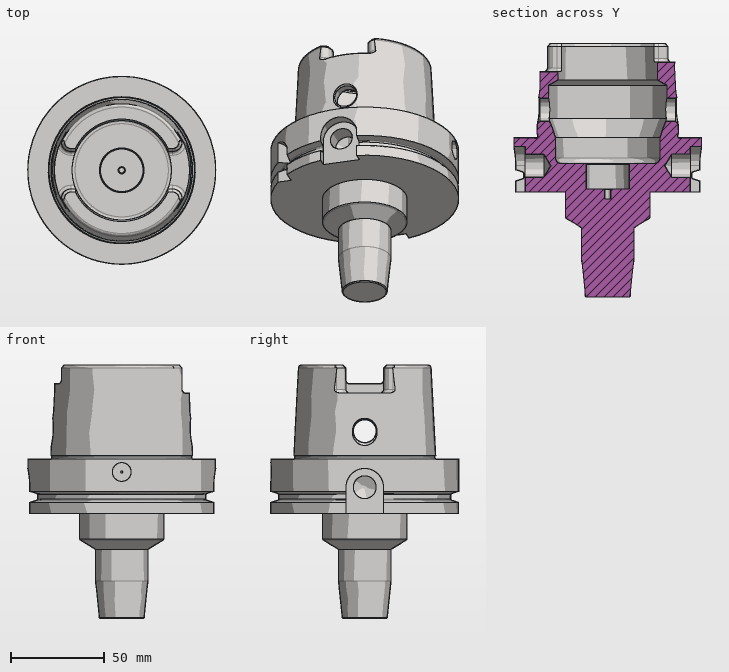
import cadquery as cq
import math

TOTAL_LENGTH = 134.9
TAPER_LENGTH = 50.0
FLANGE_RADIUS = 50.01
FLANGE_WIDTH = 29.0

TAPER_BASE_RADIUS = 37.8
TAPER_RATIO = 1 / 20
TAPER_TIP_FILLET = 1.8
RELIEF_DEPTH = 0.4
RELIEF_FOOT_FILLET = 1.2
RELIEF_END = 2.0
FACE_GROOVE_OUTER_RADIUS = 39.1
FACE_GROOVE_DEPTH = 0.4

BORE_RADIUS = 26.5
BORE_MOUTH_CHAMFER = 0.8
BORE_LENGTH = 19.4
UNDERCUT_RADIUS = 31.4
UNDERCUT_SHOULDER_ANGLE = 30
UNDERCUT_FOOT = 10.1
UNDERCUT_FOOT_ANGLE = 70
CHAMBER_RADIUS = 27.8
CHAMBER_FLOOR = 13.8
CHAMBER_FLOOR_FILLET = 3.0
SEAT_RADIUS = 11.3
SEAT_CHAMFER = 0.5
SEAT_DEPTH = 13.5
FEED_RADIUS = 1.5
FEED_CHAMFER = 0.4
FEED_DEPTH = 5.4

GROOVE_CENTRE = 20.1
GROOVE_FLOOR_RADIUS = 45.9
GROOVE_HALF_MOUTH = 3.0
GROOVE_HALF_FLOOR = 1.6
GROOVE_FILLET = 0.7

COLLAR_RADIUS = 22.5
COLLAR_LENGTH = 14.2
COLLAR_EDGE_CHAMFER = 0.5
NOSE_RADIUS = 14.0
NOSE_CONE_LENGTH = 4.9
NOSE_TAPER_LENGTH = 20.0
NOSE_TIP_RADIUS = 12.0
NOSE_TIP_CHAMFER = 0.5

KEY_HALF_WIDTH = 10.0
KEY_CORNER_RADIUS = 5.0
KEY_CORNER_X = 27.1
KEY_FLOOR_FILLET = 2.0
KEY_TOP_CHAMFER = 1.6
KEY_DEPTH_LEFT = 10.0
KEY_DEPTH_RIGHT = 15.0

ACCESS_RADIUS = 6.1
ACCESS_HEIGHT = 14.8
ACCESS_MOUTH_RADIUS = 7.1

FLANGE_SLOT_HALF_WIDTH = 10.0
FLANGE_SLOT_FLOOR = 44.0
FLANGE_SLOT_CENTRE = 15.0
SLOT_HOLE_RADIUS = 6.1
SLOT_HOLE_DEPTH = 10.0
DRILL_TIP_ANGLE = 118

NOTCH_FLOOR = 31.7
NOTCH_WALL = 31.5
CHIP_RADIUS = 5.0
CHIP_DEPTH = 4.6
CHIP_HEIGHT = 6.9
CHIP_PILOT_RADIUS = 0.5
CHIP_PILOT_DEPTH = 1.3


def turned_body():
    nose_tip = TAPER_LENGTH - TOTAL_LENGTH
    collar_end = -FLANGE_WIDTH - COLLAR_LENGTH
    tip_radius = TAPER_BASE_RADIUS - TAPER_RATIO * TAPER_LENGTH
    relief_radius = TAPER_BASE_RADIUS - RELIEF_DEPTH
    outline = (
        cq.Workplane("YZ")
        .moveTo(0, nose_tip)
        .lineTo(NOSE_TIP_RADIUS - NOSE_TIP_CHAMFER, nose_tip)
        .lineTo(NOSE_TIP_RADIUS, nose_tip + NOSE_TIP_CHAMFER)
        .lineTo(NOSE_RADIUS, nose_tip + NOSE_TAPER_LENGTH)
        .lineTo(NOSE_RADIUS, collar_end - NOSE_CONE_LENGTH)
        .lineTo(COLLAR_RADIUS - COLLAR_EDGE_CHAMFER, collar_end)
        .lineTo(COLLAR_RADIUS, collar_end + COLLAR_EDGE_CHAMFER)
        .lineTo(COLLAR_RADIUS, -FLANGE_WIDTH)
        .lineTo(FLANGE_RADIUS, -FLANGE_WIDTH)
        .lineTo(FLANGE_RADIUS, 0)
        .lineTo(FACE_GROOVE_OUTER_RADIUS, 0)
        .lineTo(FACE_GROOVE_OUTER_RADIUS - FACE_GROOVE_DEPTH, -FACE_GROOVE_DEPTH)
        .lineTo(relief_radius + RELIEF_FOOT_FILLET, -FACE_GROOVE_DEPTH)
        .radiusArc((relief_radius, RELIEF_FOOT_FILLET - FACE_GROOVE_DEPTH), RELIEF_FOOT_FILLET)
        .lineTo(relief_radius, RELIEF_END - RELIEF_DEPTH)
        .lineTo(TAPER_BASE_RADIUS, RELIEF_END)
        .lineTo(tip_radius, TAPER_LENGTH)
        .lineTo(0, TAPER_LENGTH)
        .close()
    )
    body = outline.revolve(360, (0, 0, 0), (0, 1, 0))
    return body.faces(">Z").edges().fillet(TAPER_TIP_FILLET)


def taper_bore():
    top = TAPER_LENGTH
    undercut_depth = UNDERCUT_RADIUS - BORE_RADIUS
    shoulder_top = top - BORE_LENGTH
    shoulder_foot = shoulder_top - undercut_depth * math.tan(math.radians(UNDERCUT_SHOULDER_ANGLE))
    foot_drop = (UNDERCUT_RADIUS - CHAMBER_RADIUS) * math.tan(math.radians(UNDERCUT_FOOT_ANGLE))
    floor = -CHAMBER_FLOOR
    seat_floor = floor - SEAT_DEPTH
    outline = (
        cq.Workplane("YZ")
        .moveTo(0, top)
        .lineTo(BORE_RADIUS + BORE_MOUTH_CHAMFER, top)
        .lineTo(BORE_RADIUS, top - KEY_TOP_CHAMFER)
        .lineTo(BORE_RADIUS, shoulder_top)
        .lineTo(UNDERCUT_RADIUS, shoulder_foot)
        .lineTo(UNDERCUT_RADIUS, UNDERCUT_FOOT)
        .lineTo(CHAMBER_RADIUS, UNDERCUT_FOOT - foot_drop)
        .lineTo(CHAMBER_RADIUS, floor + CHAMBER_FLOOR_FILLET)
        .radiusArc((CHAMBER_RADIUS - CHAMBER_FLOOR_FILLET, floor), CHAMBER_FLOOR_FILLET)
        .lineTo(SEAT_RADIUS + SEAT_CHAMFER, floor)
        .lineTo(SEAT_RADIUS, floor - SEAT_CHAMFER)
        .lineTo(SEAT_RADIUS, seat_floor)
        .lineTo(FEED_RADIUS + FEED_CHAMFER, seat_floor)
        .lineTo(FEED_RADIUS, seat_floor - FEED_CHAMFER)
        .lineTo(FEED_RADIUS, seat_floor - FEED_DEPTH)
        .lineTo(0, seat_floor - FEED_DEPTH)
        .close()
    )
    return outline.revolve(360, (0, 0, 0), (0, 1, 0))


def flange_groove():
    outline = (
        cq.Workplane("YZ")
        .moveTo(FLANGE_RADIUS, -GROOVE_CENTRE + GROOVE_HALF_MOUTH)
        .lineTo(GROOVE_FLOOR_RADIUS, -GROOVE_CENTRE + GROOVE_HALF_FLOOR)
        .lineTo(GROOVE_FLOOR_RADIUS, -GROOVE_CENTRE - GROOVE_HALF_FLOOR)
        .lineTo(FLANGE_RADIUS, -GROOVE_CENTRE - GROOVE_HALF_MOUTH)
        .close()
    )
    ring = outline.revolve(360, (0, 0, 0), (0, 1, 0))
    inner_rims = cq.selectors.RadiusNthSelector(0)
    return ring.edges("%CIRCLE").edges(inner_rims).fillet(GROOVE_FILLET)


def key_outline(z):
    """Key slot along +X: parallel walls that flare through rounded corners to the outside."""
    corner_end_x = KEY_CORNER_X + KEY_CORNER_RADIUS
    corner_end_y = KEY_HALF_WIDTH + KEY_CORNER_RADIUS
    mid_x = KEY_CORNER_X + KEY_CORNER_RADIUS * math.sin(math.pi / 4)
    mid_y = corner_end_y - KEY_CORNER_RADIUS * math.cos(math.pi / 4)
    return (
        cq.Workplane("XY", origin=(0, 0, z))
        .moveTo(0, -KEY_HALF_WIDTH)
        .lineTo(KEY_CORNER_X, -KEY_HALF_WIDTH)
        .threePointArc((mid_x, -mid_y), (corner_end_x, -corner_end_y))
        .lineTo(corner_end_x, -FLANGE_RADIUS)
        .lineTo(FLANGE_RADIUS, -FLANGE_RADIUS)
        .lineTo(FLANGE_RADIUS, FLANGE_RADIUS)
        .lineTo(corner_end_x, FLANGE_RADIUS)
        .lineTo(corner_end_x, corner_end_y)
        .threePointArc((mid_x, mid_y), (KEY_CORNER_X, KEY_HALF_WIDTH))
        .lineTo(0, KEY_HALF_WIDTH)
        .close()
    )


def key_slot(depth):
    slot = key_outline(TAPER_LENGTH - depth).extrude(depth)
    wall_foot = cq.selectors.BoxSelector(
        (-1.3, -FLANGE_RADIUS + 1.3, -FLANGE_RADIUS), (FLANGE_RADIUS - 1.3, FLANGE_RADIUS - 1.3, FLANGE_RADIUS)
    )
    slot = slot.faces("<Z").edges(wall_foot).edges("not(<X)").fillet(KEY_FLOOR_FILLET)
    chamfer = key_outline(TAPER_LENGTH - KEY_TOP_CHAMFER).extrude(KEY_TOP_CHAMFER, taper=-45)
    return slot.union(chamfer)


def flange_slot():
    slot = (
        cq.Workplane("YZ", origin=(FLANGE_SLOT_FLOOR, 0, 0))
        .moveTo(-FLANGE_SLOT_HALF_WIDTH, -FLANGE_WIDTH)
        .lineTo(-FLANGE_SLOT_HALF_WIDTH, -FLANGE_SLOT_CENTRE)
        .threePointArc(
            (0, FLANGE_SLOT_HALF_WIDTH - FLANGE_SLOT_CENTRE), (FLANGE_SLOT_HALF_WIDTH, -FLANGE_SLOT_CENTRE)
        )
        .lineTo(FLANGE_SLOT_HALF_WIDTH, -FLANGE_WIDTH)
        .close()
        .extrude(FLANGE_RADIUS - FLANGE_SLOT_FLOOR)
    )
    tip_length = SLOT_HOLE_RADIUS / math.tan(math.radians(DRILL_TIP_ANGLE / 2))
    hole_end = FLANGE_SLOT_FLOOR - SLOT_HOLE_DEPTH
    drill = (
        cq.Workplane("XY", origin=(0, 0, -FLANGE_SLOT_CENTRE))
        .moveTo(hole_end - tip_length, 0)
        .lineTo(hole_end, SLOT_HOLE_RADIUS)
        .lineTo(FLANGE_SLOT_FLOOR, SLOT_HOLE_RADIUS)
        .lineTo(FLANGE_SLOT_FLOOR, 0)
        .close()
        .revolve(360, (0, 0, 0), (1, 0, 0))
    )
    return slot.union(drill)


def orientation_notch():
    """Flat facing -X, closed by a wall and an arc as wide as those of the flange slots."""
    centre_y = NOTCH_WALL + FLANGE_SLOT_HALF_WIDTH
    top = FLANGE_SLOT_HALF_WIDTH - FLANGE_SLOT_CENTRE
    return (
        cq.Workplane("YZ", origin=(-NOTCH_FLOOR, 0, 0))
        .moveTo(NOTCH_WALL, -FLANGE_WIDTH)
        .lineTo(NOTCH_WALL, -FLANGE_SLOT_CENTRE)
        .radiusArc((centre_y, top), FLANGE_SLOT_HALF_WIDTH)
        .lineTo(centre_y, -FLANGE_WIDTH)
        .close()
        .extrude(NOTCH_FLOOR - FLANGE_RADIUS)
    )


def chip_pocket():
    floor = FLANGE_RADIUS - CHIP_DEPTH
    pocket = (
        cq.Workplane("XZ", origin=(0, -floor, -CHIP_HEIGHT))
        .circle(CHIP_RADIUS)
        .extrude(CHIP_DEPTH)
    )
    pilot = (
        cq.Workplane("XZ", origin=(0, -floor + CHIP_PILOT_DEPTH, -CHIP_HEIGHT))
        .circle(CHIP_PILOT_RADIUS)
        .extrude(CHIP_DEPTH)
    )
    return pocket.union(pilot)


def access_holes():
    """Cross hole along X through both walls, widened 45 degrees at the taper surface."""
    wall_x = TAPER_BASE_RADIUS - TAPER_RATIO * ACCESS_HEIGHT
    past_wall = 1.3
    inner_x = wall_x - (ACCESS_MOUTH_RADIUS - ACCESS_RADIUS)
    outer_x = wall_x + past_wall
    return (
        cq.Workplane("XY", origin=(0, 0, ACCESS_HEIGHT))
        .moveTo(-outer_x, 0)
        .lineTo(-outer_x, ACCESS_MOUTH_RADIUS + past_wall)
        .lineTo(-inner_x, ACCESS_RADIUS)
        .lineTo(inner_x, ACCESS_RADIUS)
        .lineTo(outer_x, ACCESS_MOUTH_RADIUS + past_wall)
        .lineTo(outer_x, 0)
        .close()
        .revolve(360, (0, 0, 0), (1, 0, 0))
    )


def turned_around(shape):
    return shape.rotate((0, 0, 0), (0, 0, 1), 180)


result = (
    turned_body()
    .cut(taper_bore())
    .cut(flange_groove())
    .cut(key_slot(KEY_DEPTH_RIGHT))
    .cut(turned_around(key_slot(KEY_DEPTH_LEFT)))
    .cut(access_holes())
    .cut(flange_slot())
    .cut(turned_around(flange_slot()))
    .cut(orientation_notch())
    .cut(chip_pocket())
)